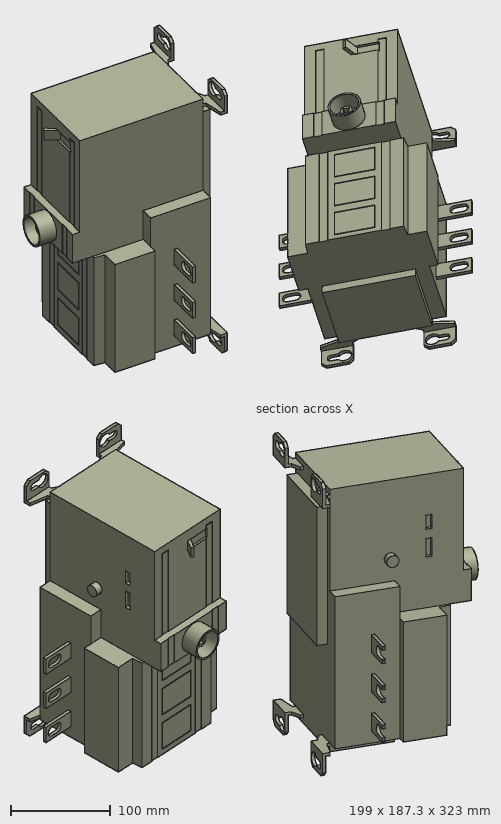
import cadquery as cq
import math


total_height = 323.0

body_half_width = 48.0
body_half_height = 144.7
housing_front = -143.7

slab_top = 32.5
slab_bottom = -2.5
slab_front = -152.0

base_half_width = 63.0
base_bottom = -135.0
base_front = -69.8
wing_left = -72.5
wing_right = 71.7
wing_front = -116.5
nose_root_left = -51.7
nose_root_right = 52.0
nose_tip_half_width = 50.7
nose_front = -129.0

back_plate_half_width = 42.3
back_plate_top = 124.5
back_plate_bottom = -28.0
back_plate_thickness = 11.5

groove_inner = 27.8
groove_outer = 36.5
groove_top = 135.3
panel_depth = 0.5
window_width = 41.7
window_height = 33.0

pole_pitch = 43.3
pole_middle = -68.5
pole_heights = [pole_middle + step * pole_pitch for step in (-1, 0, 1)]

terminal_half_span = 99.5
terminal_width = 19.5
terminal_thickness = 3.5
terminal_y = -40.7
slot_x = 86.5
slot_length = 18.7
slot_width = 11.0

foot_thickness = 3.5
foot_back = 15.8
foot_outer = 69.5
foot_inner = 36.5
foot_chamfer = 5.0
keyhole_x = 45.5
keyhole_z = 151.2
keyhole_diameter = 15.0
keyhole_slot_end = 63.3
keyhole_slot_width = 8.5
flange_outer_y = 7.8
flange_inner_y = 9.0
flange_neck_y = 3.2
flange_neck_inner = 26.0

hub_length = 19.5
hub_radius = 16.8
hub_bore_radius = 15.0
hub_z = 15.0
spindle_radius = 6.0
spindle_recess = 8.0
spindle_square = 6.0
spindle_square_depth = 6.5

lever_bottom = 119.2
lever_top = 131.0
lever_angle = math.radians(31)
lever_thickness = 3.5
lever_tip_x = -2.5
lever_tip_y = -155.5
pocket_right = 29.0
pocket_depth = 2.5

button_radius = 6.5
button_length = 7.8
button_y = -65.0
button_z = 57.8
side_slot_front = -109.8
side_slot_back = -103.5
side_slot_depth = 4.0
side_slot_spans = [(84.0, 99.0), (53.3, 73.5)]


def block(x0, x1, y0, y1, z0, z1):
    """Box between two corners."""
    return cq.Workplane("XY").box(x1 - x0, y1 - y0, z1 - z0, centered=False).translate((x0, y0, z0))


def centered_block(half_width, y0, y1, z0, z1):
    """Box that is symmetric about X = 0."""
    return block(-half_width, half_width, y0, y1, z0, z1)


def prism(points, z0, z1):
    """Vertical prism with the given XY outline."""
    return cq.Workplane("XY").workplane(offset=z0).polyline(points).close().extrude(z1 - z0)


def front_cylinder(radius, z, y_start, length):
    """Cylinder on X = 0 that runs from y_start toward the front."""
    return cq.Workplane("XZ", origin=(0, y_start, z)).circle(radius).extrude(length)


def make_body():
    body = centered_block(body_half_width, housing_front, 0, slab_bottom, body_half_height)
    body = body.union(centered_block(body_half_width, slab_front, 0, slab_bottom, slab_top))
    body = body.union(centered_block(base_half_width, base_front, 0, base_bottom, slab_top))
    body = body.union(centered_block(body_half_width, base_front, 0, -body_half_height, base_bottom))
    body = body.union(block(wing_left, wing_right, wing_front, base_front, base_bottom, slab_bottom))
    nose = [
        (nose_root_left, wing_front),
        (-nose_tip_half_width, nose_front),
        (nose_tip_half_width, nose_front),
        (nose_root_right, wing_front),
    ]
    body = body.union(prism(nose, base_bottom, slab_bottom))
    back_plate = centered_block(
        back_plate_half_width, 0, back_plate_thickness, back_plate_bottom, back_plate_top
    )
    return body.union(back_plate)


def cut_front_grooves(body):
    """Two shallow grooves that run down all three steps of the front."""
    steps = [
        (housing_front, slab_top, groove_top),
        (slab_front, slab_bottom, slab_top),
        (nose_front, base_bottom, slab_bottom),
    ]
    for front, z0, z1 in steps:
        for x0, x1 in ((-groove_outer, -groove_inner), (groove_inner, groove_outer)):
            body = body.cut(block(x0, x1, front, front + panel_depth, z0, z1))
    return body


def cut_windows(body):
    """Shallow rectangular window in front of each pole."""
    for z in pole_heights:
        z0 = z - window_height / 2
        z1 = z + window_height / 2
        window_floor = nose_front + panel_depth
        body = body.cut(centered_block(window_width / 2, nose_front, window_floor, z0, z1))
    return body


def make_terminal(z):
    """Bar through the base whose slotted ends stand out on both sides."""
    bar = cq.Workplane("XZ", origin=(0, terminal_y, z)).rect(2 * terminal_half_span, terminal_width)
    bar = bar.extrude(terminal_thickness / 2, both=True)
    slots = cq.Workplane("XZ", origin=(0, terminal_y, z)).pushPoints([(-slot_x, 0), (slot_x, 0)])
    slots = slots.slot2D(slot_length, slot_width).extrude(terminal_thickness, both=True)
    return bar.cut(slots)


def make_foot():
    """Foot at the upper right: upright keyhole plate on a tapered flange."""
    flange_bottom = -base_bottom
    plate = block(
        foot_inner, foot_outer, foot_back - foot_thickness, foot_back, flange_bottom, total_height / 2
    )
    plate = plate.edges("|Y and >Z").chamfer(foot_chamfer)
    keyhole = cq.Workplane("XZ", origin=(0, foot_back, 0)).center(keyhole_x, keyhole_z)
    keyhole = keyhole.circle(keyhole_diameter / 2).extrude(foot_thickness)
    slot_reach = keyhole_slot_end - keyhole_x + keyhole_slot_width / 2
    slot_middle = keyhole_slot_end - slot_reach / 2
    slot = cq.Workplane("XZ", origin=(slot_middle, foot_back, keyhole_z))
    slot = slot.slot2D(slot_reach, keyhole_slot_width).extrude(foot_thickness)
    flange = [
        (foot_inner, foot_back),
        (foot_outer, foot_back),
        (foot_outer, flange_outer_y),
        (body_half_width, flange_neck_y),
        (body_half_width, 0),
        (flange_neck_inner, 0),
        (flange_neck_inner, flange_neck_y),
        (foot_inner, flange_inner_y),
    ]
    plate = plate.cut(keyhole).cut(slot)
    return plate.union(prism(flange, flange_bottom, flange_bottom + foot_thickness))


def add_feet(body):
    upper_right = make_foot()
    upper_pair = upper_right.union(upper_right.mirror("YZ"))
    return body.union(upper_pair).union(upper_pair.mirror("XY"))


def add_handle_hub(body):
    """Cup with a square-socketed spindle standing on its floor."""
    hub_front = slab_front - hub_length
    spindle_front = hub_front + spindle_recess
    cup = front_cylinder(hub_radius, hub_z, slab_front + panel_depth, hub_length + panel_depth)
    cup = cup.cut(front_cylinder(hub_bore_radius, hub_z, slab_front, hub_length))
    spindle = front_cylinder(spindle_radius, hub_z, slab_front, hub_length - spindle_recess)
    socket = cq.Workplane("XZ", origin=(0, spindle_front + spindle_square_depth, hub_z))
    socket = socket.rect(spindle_square, spindle_square).extrude(spindle_square_depth)
    return body.union(cup).union(spindle.cut(socket))


def add_lever(body):
    """Blade that leans toward -X out of a shallow pocket in the housing front."""
    pocket_floor = housing_front + pocket_depth
    far_tip = (
        lever_tip_x - lever_thickness * math.cos(lever_angle),
        lever_tip_y + lever_thickness * math.sin(lever_angle),
    )
    slope = math.tan(lever_angle)
    root_x = lever_tip_x + (pocket_floor - lever_tip_y) * slope
    far_root_x = far_tip[0] + (pocket_floor - far_tip[1]) * slope
    pocket = block(far_root_x, pocket_right, housing_front, pocket_floor, lever_bottom, lever_top)
    blade = [(lever_tip_x, lever_tip_y), (root_x, pocket_floor), (far_root_x, pocket_floor), far_tip]
    return body.cut(pocket).union(prism(blade, lever_bottom, lever_top))


def add_left_side_details(body):
    button = cq.Workplane("YZ", origin=(-body_half_width, button_y, button_z))
    body = body.union(button.circle(button_radius).extrude(-button_length))
    slot_floor = -body_half_width + side_slot_depth
    for z0, z1 in side_slot_spans:
        body = body.cut(block(-body_half_width, slot_floor, side_slot_front, side_slot_back, z0, z1))
    return body


result = cut_windows(cut_front_grooves(make_body()))
for pole_height in pole_heights:
    result = result.union(make_terminal(pole_height))
result = add_feet(result)
result = add_handle_hub(result)
result = add_lever(result)
result = add_left_side_details(result)